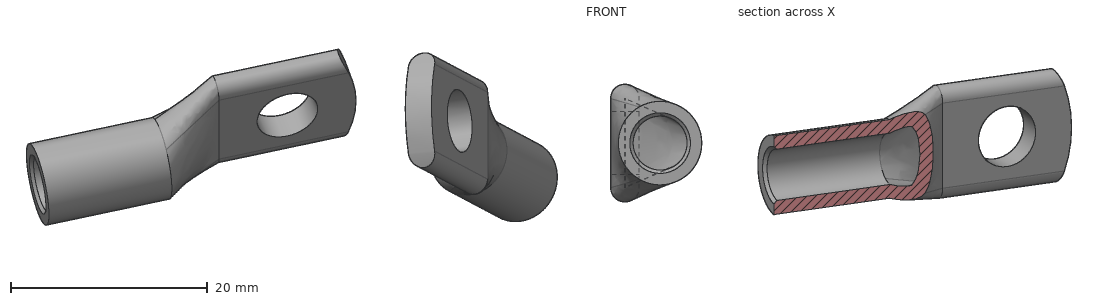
import cadquery as cq
import math


total_length = 34.27
total_width = 9.3

barrel_diameter = 8.5
barrel_radius = barrel_diameter / 2
barrel_length = 13.0
bore_diameter = 5.5
mouth_chamfer = 0.35

tongue_thickness = 2.9
tongue_height = 12.0
tongue_length = 14.5
tongue_x = barrel_radius - total_width + tongue_thickness / 2
tongue_start = total_length - tongue_length
end_arc_sagitta = 1.45
hole_diameter = 6.4
hole_from_end = 7.25

slit_thickness = 0.15
slit_height = tongue_height - tongue_thickness

split_angle = math.radians(60)


def plane_at(y):
    """Section plane across the lug; local x is X and local y is Z."""
    return cq.Workplane("XZ", origin=(0, y, 0))


def flat_section(workplane, thickness, height):
    """Upright slot outline centred on the tongue."""
    half = thickness / 2
    straight = height / 2 - half
    return (
        workplane.moveTo(tongue_x + half, -straight)
        .lineTo(tongue_x + half, straight)
        .threePointArc((tongue_x, height / 2), (tongue_x - half, straight))
        .lineTo(tongue_x - half, -straight)
        .threePointArc((tongue_x, -height / 2), (tongue_x + half, -straight))
        .close()
    )


def round_section(workplane, radius):
    """Circle in four arcs, one for each edge of the flat section."""
    dx = radius * math.cos(split_angle)
    dz = radius * math.sin(split_angle)
    return (
        workplane.moveTo(dx, -dz)
        .threePointArc((radius, 0), (dx, dz))
        .threePointArc((0, radius), (-dx, dz))
        .threePointArc((-radius, 0), (-dx, -dz))
        .threePointArc((0, -radius), (dx, -dz))
        .close()
    )


def flattening_loft(radius, thickness, height):
    """Ruled body from the round barrel section to the flat tongue section."""
    round_wire = round_section(plane_at(barrel_length), radius).wire().val()
    flat_wire = flat_section(plane_at(tongue_start), thickness, height).wire().val()
    return cq.Workplane(cq.Solid.makeLoft([round_wire, flat_wire], True))


def make_tongue():
    """Round-edged tongue with an arched end and a bolt hole."""
    bar = flat_section(plane_at(tongue_start), tongue_thickness, tongue_height).extrude(-tongue_length)
    half = tongue_height / 2
    shoulder = total_length - end_arc_sagitta
    end_outline = (
        cq.Workplane("YZ", origin=(tongue_x - tongue_thickness, 0, 0))
        .moveTo(tongue_start, -half)
        .lineTo(shoulder, -half)
        .threePointArc((total_length, 0), (shoulder, half))
        .lineTo(tongue_start, half)
        .close()
        .extrude(2 * tongue_thickness)
    )
    hole = (
        cq.Workplane("YZ", origin=(tongue_x - tongue_thickness, 0, 0))
        .center(total_length - hole_from_end, 0)
        .circle(hole_diameter / 2)
        .extrude(2 * tongue_thickness)
    )
    return bar.intersect(end_outline).cut(hole)


def make_barrel():
    """Tube with a chamfered mouth."""
    bore_radius = bore_diameter / 2
    tube = plane_at(0).circle(barrel_radius).circle(bore_radius).extrude(-barrel_length)
    return tube.faces("<Y").edges(cq.selectors.RadiusNthSelector(0)).chamfer(mouth_chamfer)


def make_transition():
    """Hollow section between barrel and tongue."""
    outside = flattening_loft(barrel_radius, tongue_thickness, tongue_height)
    inside = flattening_loft(bore_diameter / 2, slit_thickness, slit_height)
    return outside.cut(inside)


result = make_barrel().union(make_transition()).union(make_tongue())